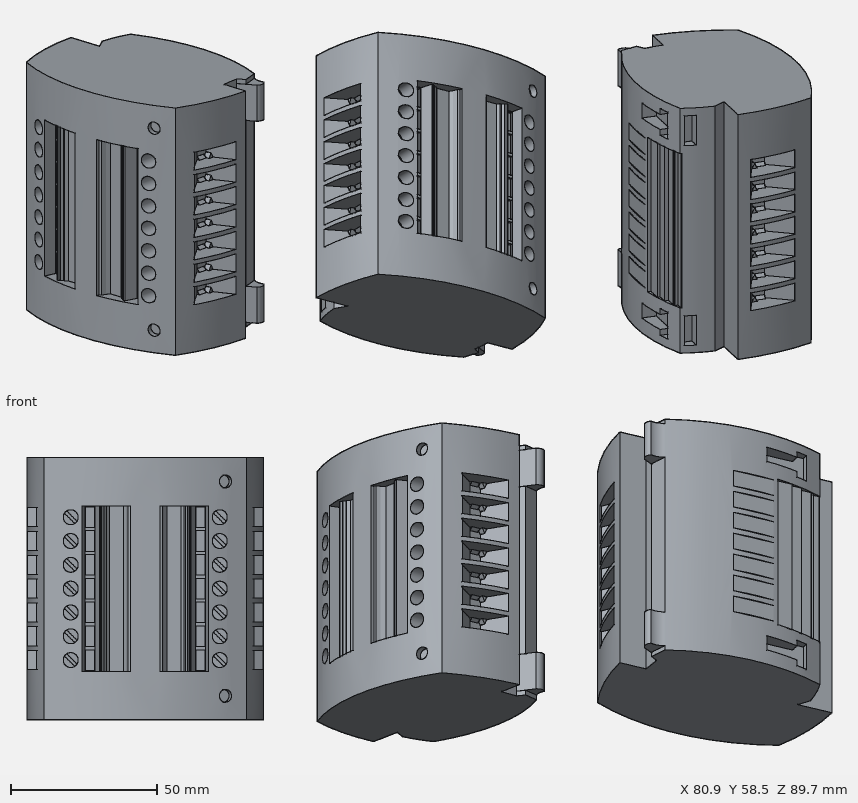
import cadquery as cq
import math

width = 80.86
depth = 58.5
height = 89.65
hook_z = 36.6
front_y = -depth / 2
back_y = depth / 2
shoulder_y = 7.6

front_corner_x = 34.55
front_corner_y = -21.45
side_arc_radius = 75.2
neck_left_x = -27.3
lip_left = (-30.0, 11.95)
lip_flat = 0.4
back_corner = (-27.75, 23.85)
back_left_bulge = (-29.3, 17.9)
back_right_end = (30.7, 22.65)
latch_root = (32.65, 16.4)
neck_right_top = (29.9, 14.6)
neck_right_x = 30.4

latch_height = 13.1
latch_saddle = (33.3, 21.85)
latch_horn = (35.7, 22.1)
latch_tip = (36.85, 19.9)
latch_heel = (36.2, 18.1)

terminal_count = 7
terminal_pitch = 8.13
wire_height = 6.5
wire_back_y = 2.95
wire_front_y = -14.55
wire_floor_x = 30.4
wire_corner_y = -1.5
wire_floor_front_y = -6.0
wire_mouth_x = 36.5
ramp_depth = 1.2
ramp_height = 1.1
ramp_back_y = -2.5
gusset_height = 1.8
gusset_width = 2.0
gusset_length = 2.4

screw_x = 25.45
screw_diameter = 5.1
screw_head_y = -19.0
screw_slot_width = 1.1
screw_slot_depth = 0.6
screw_slot_angle = -45

recess_height = 56.5
recess_outer_x = 21.6
recess_inner_x = 5.0
slot_outer_x = 20.4
slot_inner_x = 17.3
recess_foot_x = 20.6
ridge_foot_x = 17.1
slot_floor_y = -20.9
rib_top_y = -21.9
rib_height = 1.1
ridge_steps = (
    (-15.7, -26.4),
    (-15.2, -26.6),
    (-14.9, -25.9),
    (-14.4, -26.1),
    (-13.8, -25.2),
    (-13.2, -25.4),
)
valley_outer_x = 12.25
valley_inner_x = 7.4
valley_y = -24.5
inner_ledge = ((-6.5, -25.9), (-5.9, -27.6))
inner_ledge_y = -27.8

indicator_x = 27.4
indicator_z = hook_z
indicator_diameter = 4.4
indicator_depth = 2.5

back_slot_depth = 0.4
back_slot_height = terminal_pitch - 2.1
back_step_drops = (0.7, 1.8, 2.85, 4.3, 4.6, 5.7, 6.05)
back_step_inset = 0.8
hook_outer_x = -21.5
hook_stem_end_x = -5.0
hook_head_end_x = -17.4
hook_stem_height = 5.5
hook_head_height = 9.8
hook_floor_drop = 5.5
window_height = 10.9
window_back_y = 22.4
window_front_y = 18.5
window_depth = 5.0

cut_margin = 5.0


def arc_radius(half_chord, rise):
    return (half_chord ** 2 + rise ** 2) / (2 * rise)


front_radius = arc_radius(front_corner_x, front_corner_y - front_y)
back_radius = arc_radius(-back_corner[0], back_y - back_corner[1])


def front_surface_y(x):
    return front_y + front_radius - math.sqrt(front_radius ** 2 - x ** 2)


def back_surface_x(drop):
    return math.sqrt(2 * back_radius * drop - drop ** 2)


def box(x0, x1, y0, y1, z_center, z_size):
    return cq.Workplane("XY", origin=((x0 + x1) / 2, (y0 + y1) / 2, z_center)).box(
        abs(x1 - x0), abs(y1 - y0), z_size)


def prism(points, z_center, z_size):
    return (cq.Workplane("XY", origin=(0, 0, z_center - z_size / 2))
            .polyline(points).close().extrude(z_size))


def both_sides(left_body):
    return left_body.union(left_body.mirror("YZ"))


terminal_z = [(i - (terminal_count - 1) / 2) * terminal_pitch for i in range(terminal_count)]


def housing():
    half = width / 2
    middle_y = (shoulder_y + front_corner_y) / 2
    middle_x = half - side_arc_radius + math.sqrt(side_arc_radius ** 2 - (shoulder_y - middle_y) ** 2)
    return (
        cq.Workplane("XY", origin=(0, 0, -height / 2))
        .moveTo(-half, shoulder_y)
        .threePointArc((-middle_x, middle_y), (-front_corner_x, front_corner_y))
        .threePointArc((0, front_y), (front_corner_x, front_corner_y))
        .threePointArc((middle_x, middle_y), (half, shoulder_y))
        .lineTo(neck_right_x, shoulder_y)
        .lineTo(*neck_right_top)
        .lineTo(*latch_root)
        .lineTo(*back_right_end)
        .threePointArc((0, back_y), back_corner)
        .threePointArc(back_left_bulge, (lip_left[0], lip_left[1] + lip_flat))
        .lineTo(*lip_left)
        .lineTo(neck_left_x, shoulder_y)
        .close()
        .extrude(height)
    )


def latch(z_center):
    return (
        cq.Workplane("XY", origin=(0, 0, z_center - latch_height / 2))
        .moveTo(*back_right_end)
        .threePointArc(latch_saddle, latch_horn)
        .threePointArc(latch_tip, latch_heel)
        .lineTo(*neck_right_top)
        .close()
        .extrude(latch_height)
    )


def wire_entry(z):
    outside = width / 2 + cut_margin
    cavity = (
        cq.Workplane("XY", origin=(0, 0, z - wire_height / 2))
        .moveTo(-outside, wire_back_y)
        .lineTo(-width / 2, wire_back_y)
        .lineTo(-wire_floor_x, wire_corner_y)
        .lineTo(-wire_floor_x, wire_floor_front_y)
        .lineTo(-wire_mouth_x, wire_front_y)
        .lineTo(-outside, wire_front_y)
        .close()
        .extrude(wire_height)
    )
    for side in (-1, 1):
        edge_z = z + side * wire_height / 2
        ramp = (
            cq.Workplane("XZ", origin=(0, ramp_back_y, 0))
            .polyline([
                (-wire_floor_x, edge_z),
                (-wire_floor_x - ramp_depth, edge_z),
                (-wire_floor_x, edge_z - side * ramp_height),
            ])
            .close()
            .extrude(ramp_back_y - wire_floor_front_y)
        )
        gusset = (
            cq.Workplane("YZ", origin=(-wire_floor_x - gusset_length, wire_corner_y, 0))
            .polyline([
                (-gusset_width / 2, edge_z),
                (gusset_width / 2, edge_z),
                (0, edge_z - side * gusset_height),
            ])
            .close()
            .extrude(gusset_length)
        )
        cavity = cavity.cut(ramp).cut(gusset)
    return cavity


def screw_well(x, z):
    well = (cq.Workplane("XZ", origin=(x, screw_head_y, z))
            .circle(screw_diameter / 2).extrude(screw_head_y - front_y))
    slot = (cq.Workplane("XZ", origin=(x, screw_head_y + screw_slot_depth, z))
            .transformed(rotate=(0, 0, screw_slot_angle))
            .rect(screw_diameter, screw_slot_width)
            .extrude(screw_slot_depth))
    disc = (cq.Workplane("XZ", origin=(x, screw_head_y + screw_slot_depth, z))
            .circle(screw_diameter / 2).extrude(screw_slot_depth))
    return well.union(slot.intersect(disc))


def front_recess():
    outside_y = front_y - cut_margin
    recess = prism([
        (-recess_outer_x, outside_y),
        (-recess_outer_x, front_surface_y(recess_outer_x)),
        (-recess_foot_x, rib_top_y),
        (-ridge_foot_x, rib_top_y),
        *ridge_steps,
        (-valley_outer_x, valley_y),
        (-valley_inner_x, valley_y),
        *inner_ledge,
        (-recess_inner_x, inner_ledge_y),
        (-recess_inner_x, outside_y),
    ], 0, recess_height)
    slot_height = terminal_pitch - rib_height
    for z in terminal_z:
        recess = recess.union(box(-slot_outer_x, -slot_inner_x, rib_top_y, slot_floor_y, z, slot_height))
    return recess


def indicator(z):
    surface_y = front_surface_y(indicator_x)
    tilt = math.asin(indicator_x / front_radius)
    plane = cq.Plane(origin=(indicator_x, surface_y, z), xDir=(0, 0, 1),
                     normal=(math.sin(tilt), -math.cos(tilt), 0))
    return (cq.Workplane(plane).workplane(offset=-indicator_depth)
            .circle(indicator_diameter / 2).extrude(indicator_depth + cut_margin))


def back_slot(z):
    reach = back_surface_x(back_slot_depth)
    return box(-reach, reach, back_y - back_slot_depth, back_y + cut_margin, z, back_slot_height)


def back_steps():
    points = []
    for drop, next_drop in zip(back_step_drops, back_step_drops[1:]):
        riser_x = back_step_inset - back_surface_x(drop)
        points.append((riser_x, back_y - drop))
        points.append((riser_x, back_y - next_drop))
    outside_x = -width / 2
    first_x = points[0][0]
    points.append((outside_x, back_y - back_step_drops[-1]))
    points.append((outside_x, back_y + cut_margin))
    points.append((first_x, back_y + cut_margin))
    return prism(points, 0, recess_height)


def hook_pocket(z):
    floor_y = back_y - hook_floor_drop
    stem = box(hook_outer_x, hook_stem_end_x, floor_y, back_y + cut_margin, z, hook_stem_height)
    head = box(hook_outer_x, hook_head_end_x, floor_y, back_y + cut_margin, z, hook_head_height)
    return stem.union(head)


def side_window(z):
    inner_x = lip_left[0] + window_depth
    return box(lip_left[0] - cut_margin, inner_x, window_front_y, window_back_y, z, window_height)


body = housing()
for z in (-hook_z, hook_z):
    body = body.union(latch(z))
body = body.cut(both_sides(front_recess()))
for z in terminal_z:
    body = body.cut(both_sides(wire_entry(z)))
    for x in (-screw_x, screw_x):
        body = body.cut(screw_well(x, z))
    body = body.cut(back_slot(z))
for z in (-indicator_z, indicator_z):
    body = body.cut(indicator(z))
body = body.cut(back_steps())
for z in (-hook_z, hook_z):
    body = body.cut(hook_pocket(z))
    body = body.cut(side_window(z))

result = body